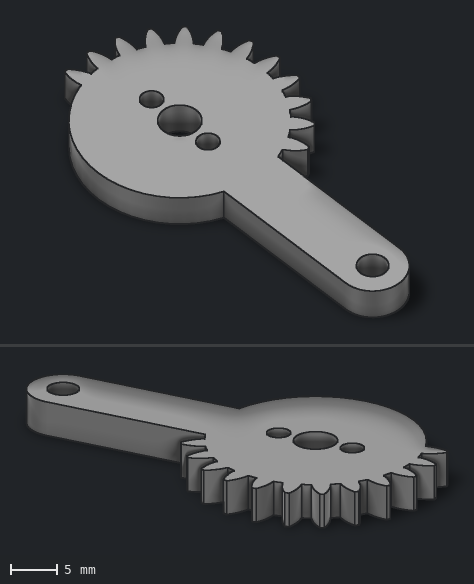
import cadquery as cq
import math

thickness = 4.0

root_radius = 12.05
tip_radius = 14.6
tooth_pitch = 15
first_tooth_angle = 30
tooth_count = 12
tooth_root_half_width = 1.05
flank_mid_radius = 13.45
tooth_mid_half_width = 0.8
tooth_tip_half_width = 0.25

overall_length = 49.4
arm_width = 2 * thickness
arm_end_x = overall_length - tip_radius - arm_width / 2

bore_diameter = 4.8
side_hole_diameter = 2.6
side_hole_offset = 4.5
arm_hole_diameter = 3.5


def tooth(angle):
    """One tooth with curved flanks, turned to the given angle in degrees from +X."""
    base_x = math.sqrt(root_radius**2 - tooth_root_half_width**2)
    shoulder_x = math.sqrt(tip_radius**2 - tooth_tip_half_width**2)
    return (
        cq.Workplane("XY")
        .moveTo(0, -tooth_root_half_width)
        .lineTo(base_x, -tooth_root_half_width)
        .threePointArc((flank_mid_radius, -tooth_mid_half_width), (shoulder_x, -tooth_tip_half_width))
        .threePointArc((tip_radius, 0), (shoulder_x, tooth_tip_half_width))
        .threePointArc((flank_mid_radius, tooth_mid_half_width), (base_x, tooth_root_half_width))
        .lineTo(0, tooth_root_half_width)
        .close()
        .extrude(thickness)
        .rotate((0, 0, 0), (0, 0, 1), angle)
    )


def arm():
    """Straight arm from the gear centre, ending in a half circle."""
    half_width = arm_width / 2
    return (
        cq.Workplane("XY")
        .moveTo(0, -half_width)
        .lineTo(arm_end_x, -half_width)
        .threePointArc((arm_end_x + half_width, 0), (arm_end_x, half_width))
        .lineTo(0, half_width)
        .close()
        .extrude(thickness)
    )


def hole(x, diameter):
    """Cutter for a through hole on the X axis."""
    return cq.Workplane("XY").center(x, 0).circle(diameter / 2).extrude(thickness)


result = cq.Workplane("XY").circle(root_radius).extrude(thickness).union(arm())

for index in range(tooth_count):
    result = result.union(tooth(first_tooth_angle + index * tooth_pitch))

for x, diameter in (
    (0, bore_diameter),
    (-side_hole_offset, side_hole_diameter),
    (side_hole_offset, side_hole_diameter),
    (arm_end_x, arm_hole_diameter),
):
    result = result.cut(hole(x, diameter))